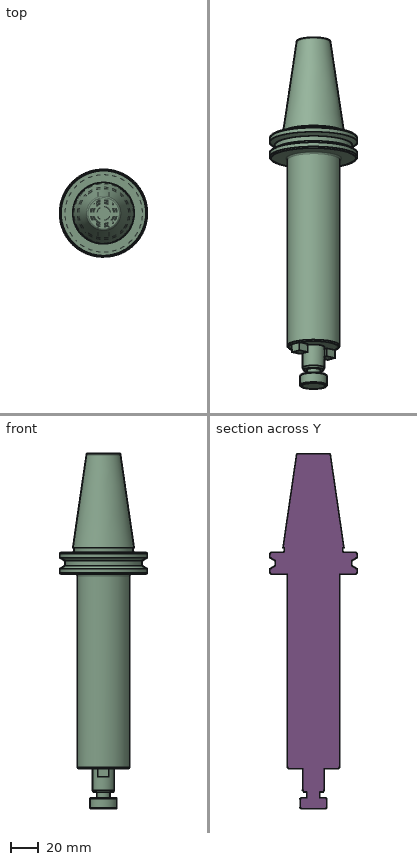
import cadquery as cq
import math

total_height = 257.5
taper_length = 68.5
flange_gap = 3.0
flange_thickness = 16.0
body_bottom = 29.0
pilot_length = 17.0
screw_head_height = 8.2

gauge_radius = 44.5 / 2
taper_ratio = 7 / 24
taper_tip_fillet = 1.0
undercut_depth = 0.8
undercut_fillet = 0.8

flange_radius = 63.5 / 2
flange_chamfer = 1.0
groove_floor_radius = 28.0
groove_floor_width = 3.5
groove_half_angle = 30

body_radius = 19.0
body_chamfer = 1.0
body_root_fillet = 1.0
pilot_radius = 8.0
pilot_chamfer_height = 1.5
pilot_chamfer_width = 0.8
screw_neck_radius = 5.0
screw_head_radius = 9.8
screw_head_chamfer = 0.8

key_width = 8.0
key_height = 6.0
key_inner_reach = 9.5
key_outer_reach = 17.5

gauge_level = total_height - taper_length
flange_top = gauge_level - flange_gap
flange_bottom = flange_top - flange_thickness
flange_middle = (flange_top + flange_bottom) / 2
pilot_bottom = body_bottom - pilot_length


def disc(radius, bottom, top):
    """Cylinder on the Z axis between two levels."""
    return cq.Workplane("XY").workplane(offset=bottom).circle(radius).extrude(top - bottom)


def revolved_profile(points):
    """Solid of revolution about Z from (radius, height) points."""
    return cq.Workplane("XZ").polyline(points).close().revolve(360, (0, 0), (0, 1))


def root_fillet(shaft_radius, fillet_radius, face_level, direction):
    """Fillet ring between a shaft and a flange face; direction is +1 above the face, -1 below."""
    outer_radius = shaft_radius + fillet_radius
    tangent_level = face_level + direction * fillet_radius
    arc_offset = fillet_radius * math.sqrt(0.5)
    arc_middle = (outer_radius - arc_offset, tangent_level - direction * arc_offset)
    return (
        cq.Workplane("XZ")
        .moveTo(0, face_level)
        .lineTo(outer_radius, face_level)
        .threePointArc(arc_middle, (shaft_radius, tangent_level))
        .lineTo(0, tangent_level)
        .close()
        .revolve(360, (0, 0), (0, 1))
    )


def make_taper():
    tip_radius = gauge_radius - taper_length * taper_ratio / 2
    cone = revolved_profile([
        (0, gauge_level),
        (gauge_radius, gauge_level),
        (tip_radius, total_height),
        (0, total_height),
    ])
    cone = cone.faces(">Z").edges().fillet(taper_tip_fillet)
    undercut_radius = gauge_radius - undercut_depth
    undercut = disc(undercut_radius, flange_top, gauge_level)
    return cone.union(undercut).union(root_fillet(undercut_radius, undercut_fillet, flange_top, 1))


def make_flange():
    flange = disc(flange_radius, flange_bottom, flange_top).edges().chamfer(flange_chamfer)
    groove_depth = flange_radius - groove_floor_radius
    half_floor = groove_floor_width / 2
    half_mouth = half_floor + groove_depth * math.tan(math.radians(groove_half_angle))
    groove = revolved_profile([
        (groove_floor_radius, flange_middle - half_floor),
        (flange_radius, flange_middle - half_mouth),
        (flange_radius, flange_middle + half_mouth),
        (groove_floor_radius, flange_middle + half_floor),
    ])
    return flange.cut(groove)


def make_body():
    body = disc(body_radius, body_bottom, flange_bottom).faces("<Z").chamfer(body_chamfer)
    return body.union(root_fillet(body_radius, body_root_fillet, flange_bottom, -1))


def make_pilot():
    return revolved_profile([
        (0, pilot_bottom),
        (pilot_radius - pilot_chamfer_width, pilot_bottom),
        (pilot_radius, pilot_bottom + pilot_chamfer_height),
        (pilot_radius, body_bottom),
        (0, body_bottom),
    ])


def make_screw():
    head = disc(screw_head_radius, 0, screw_head_height).edges().chamfer(screw_head_chamfer)
    neck = disc(screw_neck_radius, screw_head_height, pilot_bottom)
    return head.union(neck)


def make_keys():
    key_length = key_outer_reach - key_inner_reach
    key_centre = (key_outer_reach + key_inner_reach) / 2
    return (
        cq.Workplane("XY")
        .workplane(offset=body_bottom)
        .pushPoints([(0, -key_centre), (0, key_centre)])
        .rect(key_width, key_length)
        .extrude(-key_height)
    )


result = (
    make_taper()
    .union(make_flange())
    .union(make_body())
    .union(make_pilot())
    .union(make_screw())
    .union(make_keys())
)